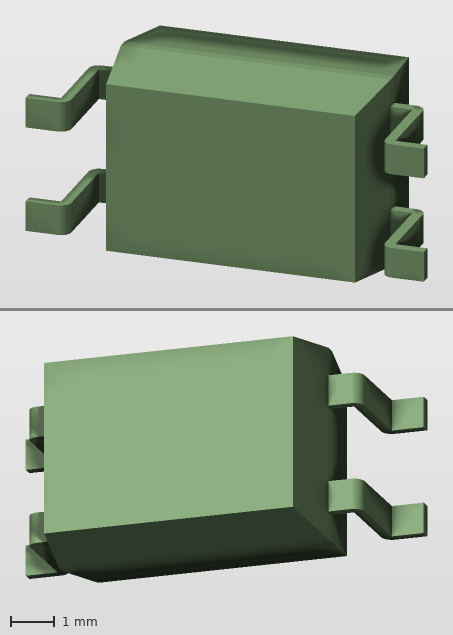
import cadquery as cq

overall_length = 9.6
overall_height = 4.2
standoff = 0.41

housing_length = 6.5
housing_width = 4.6
draft_inset = 0.25

lead_thickness = 0.25
lead_width = 0.73
lead_pitch = 2.54
foot_length = 0.77
bend_radius = lead_thickness

band_height = lead_thickness
taper_height = (overall_height - standoff - band_height) / 2
band_bottom = standoff + taper_height
band_top = band_bottom + band_height


def band_outline(height):
    """Full-size housing rectangle in an XZ plane at the given Y."""
    return cq.Workplane("XZ", origin=(0, height, 0)).rect(housing_length, housing_width)


def tapered_half(band_face, direction):
    """Half of the housing, narrowing from the band along Y (direction is +1 or -1)."""
    return (
        band_outline(band_face)
        .workplane(offset=-direction * taper_height)
        .rect(housing_length - 2 * draft_inset, housing_width - 2 * draft_inset)
        .loft(ruled=True)
    )


def make_housing():
    """Moulded housing: a straight parting band between two tapered halves."""
    band = band_outline(band_bottom).extrude(-band_height)
    return band.union(tapered_half(band_top, 1)).union(tapered_half(band_bottom, -1))


def make_lead(side, z_center):
    """Gull-wing lead on one side (side is +1 or -1), ending against the parting band."""
    root_x = side * housing_length / 2
    tip_x = side * overall_length / 2
    outer_x = tip_x - side * foot_length
    inner_x = outer_x - side * lead_thickness
    profile = (
        cq.Workplane("XY", origin=(0, 0, z_center - lead_width / 2))
        .moveTo(root_x, band_bottom)
        .lineTo(root_x, band_top)
        .lineTo(outer_x - side * bend_radius, band_top)
        .tangentArcPoint((outer_x, band_top - bend_radius), relative=False)
        .lineTo(outer_x, lead_thickness)
        .lineTo(tip_x, lead_thickness)
        .lineTo(tip_x, 0)
        .lineTo(inner_x + side * bend_radius, 0)
        .tangentArcPoint((inner_x, bend_radius), relative=False)
        .lineTo(inner_x, band_bottom)
        .close()
    )
    return profile.extrude(lead_width)


housing = make_housing()
leads = [
    make_lead(side, row * lead_pitch / 2)
    for side in (-1, 1)
    for row in (-1, 1)
]

result = cq.Compound.makeCompound([housing.val(), *[lead.val() for lead in leads]])